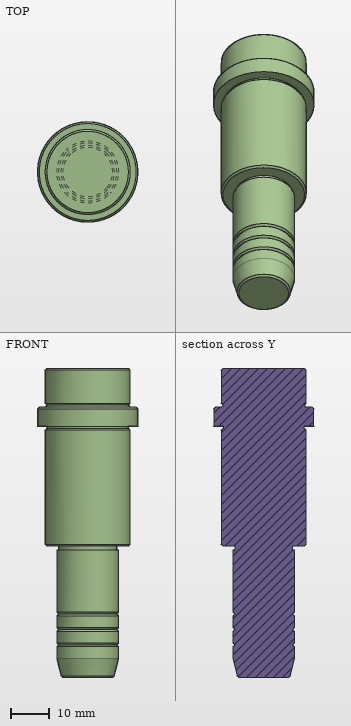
import cadquery as cq

TOTAL_HEIGHT = 80.0
FLANGE_TOP = 70.0
FLANGE_BOTTOM = 65.0
BODY_BOTTOM = 34.0
SHANK_TOP = 33.0
TAPER_TOP = 5.0

FLANGE_RADIUS = 26.0 / 2
BODY_RADIUS = 22.0 / 2
SHANK_RADIUS = 8.0
TIP_RADIUS = 6.9

CHAMFER = 0.5
NECK_HEIGHT = 0.5
BODY_NECK_RADIUS = BODY_RADIUS - CHAMFER
SHANK_NECK_RADIUS = 7.5

LOWEST_GROOVE_CENTRE = 8.5
GROOVE_PITCH = 4.0
GROOVE_COUNT = 3
GROOVE_WIDTH = 1.0
GROOVE_DEPTH = 0.5


def turned_blank():
    """Revolve the stepped outline, traced in (radius, height) from the tip up."""
    cap_bottom = FLANGE_TOP + NECK_HEIGHT
    body_top = FLANGE_BOTTOM - NECK_HEIGHT
    outline = [
        (0, 0),
        (TIP_RADIUS - CHAMFER, 0),
        (TIP_RADIUS, CHAMFER),
        (SHANK_RADIUS, TAPER_TOP),
        (SHANK_RADIUS, SHANK_TOP),
        (SHANK_NECK_RADIUS, SHANK_TOP),
        (SHANK_NECK_RADIUS, BODY_BOTTOM),
        (BODY_RADIUS - CHAMFER, BODY_BOTTOM),
        (BODY_RADIUS, BODY_BOTTOM + CHAMFER),
        (BODY_RADIUS, body_top - CHAMFER),
        (BODY_NECK_RADIUS, body_top),
        (BODY_NECK_RADIUS, FLANGE_BOTTOM),
        (FLANGE_RADIUS, FLANGE_BOTTOM),
        (FLANGE_RADIUS, FLANGE_TOP - CHAMFER),
        (FLANGE_RADIUS - CHAMFER, FLANGE_TOP),
        (BODY_RADIUS, FLANGE_TOP),
        (BODY_NECK_RADIUS, cap_bottom),
        (BODY_RADIUS, cap_bottom + CHAMFER),
        (BODY_RADIUS, TOTAL_HEIGHT - CHAMFER),
        (BODY_RADIUS - CHAMFER, TOTAL_HEIGHT),
        (0, TOTAL_HEIGHT),
    ]
    return cq.Workplane("XZ").polyline(outline).close().revolve(360, (0, 0), (0, 1))


def groove_ring(centre_height):
    """Ring of triangular section that cuts one V groove into the shank."""
    section = [
        (SHANK_RADIUS, centre_height - GROOVE_WIDTH / 2),
        (SHANK_RADIUS - GROOVE_DEPTH, centre_height),
        (SHANK_RADIUS, centre_height + GROOVE_WIDTH / 2),
    ]
    return cq.Workplane("XZ").polyline(section).close().revolve(360, (0, 0), (0, 1))


result = turned_blank()
for index in range(GROOVE_COUNT):
    result = result.cut(groove_ring(LOWEST_GROOVE_CENTRE + index * GROOVE_PITCH))